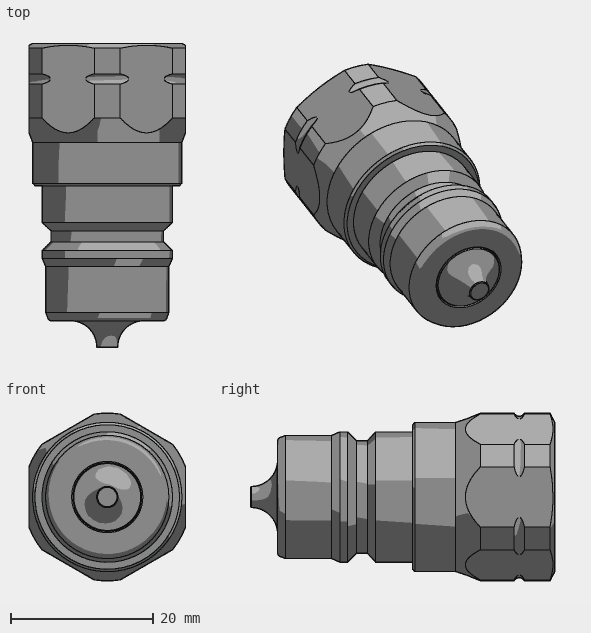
import cadquery as cq
import math


ACROSS_FLATS = 22.0
HEX_CORNER_DIAMETER = 23.6
REAR_FACE_DIAMETER = 20.95
REAR_CHAMFER_END = 0.7
HEX_END = 10.47
COLLAR_DIAMETER = 21.0
COLLAR_START = 13.95
ADAPTER_END = 20.0
COLLAR_CHAMFER = 0.35

GROOVE_STATION = 5.0
GROOVE_DEPTH = 0.43
GROOVE_WIDTH = 1.45

NOSE_DIAMETER = 18.35
NECK_DIAMETER = 15.85
NECK_SLOPE_START = 25.2
NECK_START = 26.35
NECK_END = 27.87
RIB_START = NECK_END + (NOSE_DIAMETER - NECK_DIAMETER) / 2
RIB_END = 30.22
PILOT_DIAMETER = 17.3
PILOT_START = 31.38
PILOT_END = 37.85
LEAD_IN_ANGLE = 20.0
NOSE_END = 39.0
NOSE_EDGE_RADIUS = 0.6

BORE_DIAMETER = 10.0
BORE_DEPTH = 4.28
POPPET_CLEARANCE = 0.15
POPPET_RIM_BEVEL = 0.13
POPPET_TIP_DIAMETER = 3.0
POPPET_FLARE_RADIUS = 3.65
POPPET_TIP_CHAMFER = 0.13
OVERALL_LENGTH = 42.75


def point(radius, station):
    """Half-section point at a radius and a distance in front of the rear face."""
    return (radius, -station)


def revolve_about_y(half_section):
    """Turn a closed half-section around the Y axis."""
    return half_section.revolve(360, (0, 0, 0), (0, 1, 0))


def turned(points):
    """Turn a straight-sided half-section, given from the axis and back to it."""
    return revolve_about_y(cq.Workplane("XY").polyline(points).close())


def adapter_blank():
    """Turned outside of the adapter: rear chamfer, hexagon stock, cone and collar."""
    corner_radius = HEX_CORNER_DIAMETER / 2
    collar_radius = COLLAR_DIAMETER / 2
    return turned([
        point(0, 0),
        point(REAR_FACE_DIAMETER / 2, 0),
        point(corner_radius, REAR_CHAMFER_END),
        point(corner_radius, HEX_END),
        point(collar_radius, COLLAR_START),
        point(collar_radius, ADAPTER_END - COLLAR_CHAMFER),
        point(collar_radius - COLLAR_CHAMFER, ADAPTER_END),
        point(0, ADAPTER_END),
    ])


def hexagon_prism():
    """Hexagon with flats facing -X and +X and corners on the Z axis."""
    corner_distance = ACROSS_FLATS / math.sqrt(3)
    corners = []
    for index in range(6):
        angle = math.radians(30 + 60 * index)
        corners.append((corner_distance * math.cos(angle), corner_distance * math.sin(angle)))
    return cq.Workplane("XZ").polyline(corners).close().extrude(ADAPTER_END)


def corner_groove():
    """Ring of round section that cuts a shallow groove across the rounded corners."""
    section_radius = (GROOVE_WIDTH**2 / 4 + GROOVE_DEPTH**2) / (2 * GROOVE_DEPTH)
    ring_radius = HEX_CORNER_DIAMETER / 2 - GROOVE_DEPTH + section_radius
    center = point(ring_radius, GROOVE_STATION)
    return revolve_about_y(cq.Workplane("XY").moveTo(*center).circle(section_radius))


def make_adapter():
    return adapter_blank().intersect(hexagon_prism()).cut(corner_groove())


def nose_blank():
    """Nose with its locking neck, rib, pilot and rounded front edge, standing on the collar face."""
    nose_radius = NOSE_DIAMETER / 2
    neck_radius = NECK_DIAMETER / 2
    pilot_radius = PILOT_DIAMETER / 2
    slope = math.radians(LEAD_IN_ANGLE)

    lead_in_end = NOSE_END - NOSE_EDGE_RADIUS * (1 - math.sin(slope))
    lead_in_radius = pilot_radius - (lead_in_end - PILOT_END) * math.tan(slope)
    face_radius = lead_in_radius - NOSE_EDGE_RADIUS * math.cos(slope)
    middle_angle = (slope + math.pi / 2) / 2
    edge_middle = point(
        face_radius + NOSE_EDGE_RADIUS * math.cos(middle_angle),
        NOSE_END - NOSE_EDGE_RADIUS * (1 - math.sin(middle_angle)),
    )

    half_section = (
        cq.Workplane("XY")
        .polyline([
            point(0, ADAPTER_END),
            point(nose_radius, ADAPTER_END),
            point(nose_radius, NECK_SLOPE_START),
            point(neck_radius, NECK_START),
            point(neck_radius, NECK_END),
            point(nose_radius, RIB_START),
            point(nose_radius, RIB_END),
            point(pilot_radius, PILOT_START),
            point(pilot_radius, PILOT_END),
            point(lead_in_radius, lead_in_end),
        ])
        .threePointArc(edge_middle, point(face_radius, NOSE_END))
        .lineTo(*point(0, NOSE_END))
        .close()
    )
    return revolve_about_y(half_section)


def poppet_bore():
    """Blind bore in the nose face; the poppet rests on its floor."""
    bore_radius = BORE_DIAMETER / 2
    return turned([
        point(0, NOSE_END - BORE_DEPTH),
        point(bore_radius, NOSE_END - BORE_DEPTH),
        point(bore_radius, NOSE_END),
        point(0, NOSE_END),
    ])


def make_nose():
    return nose_blank().cut(poppet_bore())


def make_poppet():
    """Poppet with a concave flare from its rim to a slim stem, its arc tangent to the stem."""
    rim_radius = BORE_DIAMETER / 2 - POPPET_CLEARANCE
    flare_start_radius = rim_radius - POPPET_RIM_BEVEL
    tip_radius = POPPET_TIP_DIAMETER / 2
    arc_center_radius = tip_radius + POPPET_FLARE_RADIUS
    arc_center_station = NOSE_END + POPPET_FLARE_RADIUS

    start_angle = math.acos((arc_center_radius - flare_start_radius) / POPPET_FLARE_RADIUS)
    middle_angle = start_angle / 2

    def on_arc(angle):
        return point(
            arc_center_radius - POPPET_FLARE_RADIUS * math.cos(angle),
            arc_center_station - POPPET_FLARE_RADIUS * math.sin(angle),
        )

    half_section = (
        cq.Workplane("XY")
        .moveTo(*point(0, NOSE_END - BORE_DEPTH))
        .lineTo(*point(rim_radius, NOSE_END - BORE_DEPTH))
        .lineTo(*point(rim_radius, NOSE_END - POPPET_RIM_BEVEL))
        .lineTo(*on_arc(start_angle))
        .threePointArc(on_arc(middle_angle), on_arc(0))
        .lineTo(*point(tip_radius - POPPET_TIP_CHAMFER, OVERALL_LENGTH))
        .lineTo(*point(0, OVERALL_LENGTH))
        .close()
    )
    return revolve_about_y(half_section)


adapter = make_adapter()
nose = make_nose()
poppet = make_poppet()

result = cq.Compound.makeCompound([adapter.val(), nose.val(), poppet.val()])